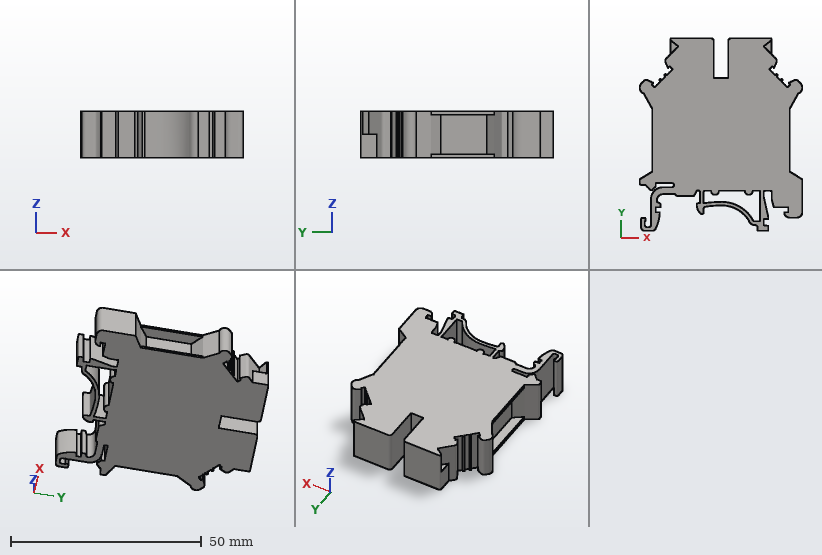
import cadquery as cq
import math

WIDTH = 42.62
LENGTH = 50.5
THICKNESS = 12.2
RIGHT = WIDTH / 2
TOP = LENGTH / 2
BOTTOM = -TOP
TOP_FACE = THICKNESS / 2

SLOT_HALF_WIDTH = 1.85
SLOT_FLOOR = 14.8
SLOT_MOUTH_ROUND = 0.85
HEAD_HALF_WIDTH = 13.24
HEAD_ROUND = 0.4

GROOVE_X = -15.03
GROOVE_Y = 14.71
GROOVE_HALF_LENGTH = 3.32
LIP_HEIGHT = 1.05
LIP_NOSE_ALONG = 2.71
HOOK_HEIGHT = 3.19
HOOK_SHOULDER_ALONG = 3.48
HOOK_ROUND = 0.85
BULB_RADIUS = 1.65
BULB_ALONG = -5.0
BULB_START_ANGLE = 90
BULB_END_ANGLE = 204
RIDGE_OFFSET = 0.9
RIDGE_SIZE = 0.5

NOTCH_DEPTH = 6.0
NOTCH_START_Y = 24.67
NOTCH_TIP_X = -11.16

FLANK_X = 18.06
FLANK_TOP = 6.78
FLANK_BOTTOM = -9.75
POCKET_WALL = 0.9
POCKET_DEPTH = 2.7
POCKET_FLOOR_TOP = 4.2
POCKET_FLOOR_BOTTOM = -7.74

SKIRT_Y = -11.72
SKIRT_BOTTOM = -13.24
STOP_LEFT = -19.8
STOP_TIP_X = -18.26
STOP_TIP_Y = -14.75
STOP_RIGHT_Y = -13.6
UNDERSIDE = -14.78
RAIL_SEAT = -19.09
RAIL_LIP = -20.3
RAIL_GROOVE_X = 17.05
RIGHT_RAIL_GROOVE_X = 17.57
FOOT_BOTTOM = -21.82
FOOT_LEFT = 13.27
FOOT_SEAT_LEFT = 13.81
FOOT_TAPER_TOP = -17.07
FOOT_TOE_X = 16.52
FOOT_ROUND = 1.5
TINY_ROUND = 0.2
SMALL_ROUND = 0.3
MEDIUM_ROUND = 0.5

ARM_SLOT_TOP = -12.76
ARM_TOP = -13.78
ARM_SLOT_END = -12.34
ARM_OUTER_X = -18.36
ARM_OUTER_ROUND = 3.15
ARM_UNDERSIDE = -15.64
ARM_INNER_X = -16.75
ARM_INNER_ROUND = 1.6
PLATE_BOTTOM = -16.15
PLATE_STEP_X = -12.1
PLATE_LEFT = -11.5
PLATE_RIGHT = -7.09
TAIL_LEFT = -20.96
TAIL_TOP = -21.8
TAIL_FLOOR = -24.23
TAIL_INNER_X = -19.93
TAIL_TIP_X = -19.75
TAIL_BEAD_BOTTOM = -22.75
TAIL_BEAD_TOP = -22.55
TAIL_ROUND = 1.0
JAW_X = -16.0
BARB_X = -15.82
BARB_TOP = -18.1
BARB_ROOT = -17.6

POST_LEFT = -5.55
POST_RIGHT = -4.52
POST_BOTTOM = -20.82
POST_RELIEF_LEFT = -6.25
POST_RELIEF_TOP = -14.66
POST_ROUND = 0.4
ARCH_CROWN_X = 0.4
ARCH_TOP = -17.6
ARCH_BOTTOM = -18.6
LEG_LEFT = 10.17
LEG_RIGHT = 11.2
LEG_TIP_X = 12.43
LEG_FOOT_LEFT = 9.53
LEG_FOOT_TOP = -23.75
LEG_FOOT_ROUND = 0.55
LEG_NOTCH_MOUTH = -23.89
LEG_NOTCH_TOP = -22.13
LEG_TAPER_BOTTOM = -21.7
LEG_TAPER_TOP = -16.2
WINDOW_FLOOR = -22.7
BUMP_RADIUS = 1.05
BUMP_CENTRES = (-1.57, 7.28)


def corner(x, y, radius=0.0):
    """Outline corner, rounded when a radius is given."""
    return ("corner", x, y, radius)


def through(x, y):
    """Point in the middle of an arc joining the corners before and after it."""
    return ("through", x, y, 0.0)


def unit(start, end):
    dx = end[1] - start[1]
    dy = end[2] - start[2]
    size = math.hypot(dx, dy)
    return dx / size, dy / size


def fillet_points(before, point, after):
    """Start, middle and end of the round that replaces a corner."""
    _, x, y, radius = point
    ux, uy = unit(point, before)
    vx, vy = unit(point, after)
    half_angle = math.acos(ux * vx + uy * vy) / 2
    tangent = radius / math.tan(half_angle)
    to_arc = radius / math.sin(half_angle) - radius
    bx, by = ux + vx, uy + vy
    size = math.hypot(bx, by)
    start = (x + ux * tangent, y + uy * tangent)
    middle = (x + bx / size * to_arc, y + by / size * to_arc)
    end = (x + vx * tangent, y + vy * tangent)
    return start, middle, end


def prism(points, bottom=-TOP_FACE, height=THICKNESS):
    """Extrude a closed outline whose first point is a plain corner."""
    sketch = cq.Workplane("XY").workplane(offset=bottom).moveTo(*points[0][1:3])
    count = len(points)
    arc_middle = None
    for i in range(1, count):
        kind, x, y, radius = points[i]
        if kind == "through":
            arc_middle = (x, y)
        elif arc_middle:
            sketch = sketch.threePointArc(arc_middle, (x, y))
            arc_middle = None
        elif radius:
            start, middle, end = fillet_points(points[i - 1], points[i], points[(i + 1) % count])
            sketch = sketch.lineTo(*start).threePointArc(middle, end)
        else:
            sketch = sketch.lineTo(x, y)
    return sketch.close().extrude(height)


def mirrored(points):
    """Outline stretch reflected to the other side, in reverse order."""
    return [(kind, -x, y, radius) for kind, x, y, radius in reversed(points)]


def on_groove(along, out, radius=0.0):
    """Corner given in the turned axes of the left marker groove."""
    diagonal = math.sqrt(0.5)
    x = GROOVE_X + (along - out) * diagonal
    y = GROOVE_Y + (along + out) * diagonal
    return corner(x, y, radius)


def shoulder_line_y(x):
    """Height of the 45 degree line along the outer faces of the left hooks."""
    return x + GROOVE_Y - GROOVE_X + HOOK_HEIGHT * math.sqrt(2)


def groove_lip(side):
    """Corners of one end of the groove, from the hook shoulder to the floor."""
    return [
        on_groove(side * HOOK_SHOULDER_ALONG, HOOK_HEIGHT, HOOK_ROUND),
        on_groove(side * LIP_NOSE_ALONG, LIP_HEIGHT),
        on_groove(side * GROOVE_HALF_LENGTH, LIP_HEIGHT),
        on_groove(side * GROOVE_HALF_LENGTH, 0),
    ]


def groove_ridge(centre):
    half = RIDGE_SIZE / 2
    return [
        on_groove(centre + half, 0),
        on_groove(centre + half, RIDGE_SIZE),
        on_groove(centre - half, RIDGE_SIZE),
        on_groove(centre - half, 0),
    ]


def lower_hook_bulb():
    """Round end of the lower hook, from its outer face to the flank."""
    arc = []
    for angle in (BULB_START_ANGLE, (BULB_START_ANGLE + BULB_END_ANGLE) / 2, BULB_END_ANGLE):
        along = BULB_ALONG + BULB_RADIUS * math.cos(math.radians(angle))
        out = HOOK_HEIGHT - BULB_RADIUS + BULB_RADIUS * math.sin(math.radians(angle))
        arc.append(on_groove(along, out))
    start, middle, end = arc
    return [start, through(middle[1], middle[2]), end]


def upper_left():
    """Left half of the head, shoulder and flank, from the slot downwards."""
    return [
        corner(-SLOT_HALF_WIDTH, SLOT_FLOOR),
        corner(-SLOT_HALF_WIDTH, TOP, SLOT_MOUTH_ROUND),
        corner(-HEAD_HALF_WIDTH, TOP, HEAD_ROUND),
        corner(-HEAD_HALF_WIDTH, shoulder_line_y(-HEAD_HALF_WIDTH)),
        *groove_lip(1),
        *groove_ridge(RIDGE_OFFSET),
        *groove_ridge(-RIDGE_OFFSET),
        *reversed(groove_lip(-1)),
        *lower_hook_bulb(),
        corner(-FLANK_X, FLANK_TOP),
        corner(-FLANK_X, FLANK_BOTTOM),
    ]


def left_skirt():
    """Left corner of the housing with its pointed stop above the spring arm."""
    return [
        corner(-RIGHT, SKIRT_Y, SMALL_ROUND),
        corner(-RIGHT, SKIRT_BOTTOM, MEDIUM_ROUND),
        corner(STOP_LEFT, SKIRT_BOTTOM),
        corner(STOP_TIP_X, STOP_TIP_Y, SMALL_ROUND),
        corner(-RAIL_GROOVE_X, STOP_RIGHT_Y),
        corner(-RAIL_GROOVE_X, ARM_SLOT_TOP),
    ]


def spring_arm():
    """Bent arm with the hooked tail and the left rail groove."""
    return [
        corner(ARM_SLOT_END, ARM_SLOT_TOP, MEDIUM_ROUND),
        corner(ARM_SLOT_END, ARM_TOP, MEDIUM_ROUND),
        corner(ARM_OUTER_X, ARM_TOP, ARM_OUTER_ROUND),
        corner(ARM_OUTER_X, TAIL_FLOOR, MEDIUM_ROUND),
        corner(TAIL_INNER_X, TAIL_FLOOR, MEDIUM_ROUND),
        corner(TAIL_INNER_X, TAIL_BEAD_BOTTOM),
        corner(TAIL_TIP_X, TAIL_BEAD_TOP),
        corner(TAIL_TIP_X, TAIL_TOP, SMALL_ROUND),
        corner(TAIL_LEFT, TAIL_TOP, MEDIUM_ROUND),
        corner(TAIL_LEFT, BOTTOM, TAIL_ROUND),
        corner(-18.05, BOTTOM),
        through(-17.5, -25.12),
        corner(-17.15, -24.77),
        through(-16.35, -22.75),
        corner(JAW_X, -20.55),
        corner(JAW_X, RAIL_LIP, TINY_ROUND),
        corner(-RAIL_GROOVE_X, RAIL_LIP),
        corner(-RAIL_GROOVE_X, RAIL_SEAT),
        corner(BARB_X, RAIL_SEAT),
        corner(BARB_X, BARB_TOP, MEDIUM_ROUND),
        corner(ARM_INNER_X, BARB_ROOT),
        corner(ARM_INNER_X, ARM_UNDERSIDE, ARM_INNER_ROUND),
        corner(PLATE_STEP_X, ARM_UNDERSIDE),
        corner(PLATE_LEFT, PLATE_BOTTOM),
        corner(PLATE_RIGHT, PLATE_BOTTOM),
    ]


def arched_spring():
    """Underside of the post, the arch and the right leg."""
    return [
        corner(POST_RELIEF_LEFT, POST_RELIEF_TOP, POST_ROUND),
        corner(POST_LEFT, POST_RELIEF_TOP, POST_ROUND),
        corner(POST_LEFT, -17.87),
        corner(-6.37, -18.05, SMALL_ROUND),
        corner(-6.35, -18.9),
        through(-5.95, -20.0),
        corner(-5.2, POST_BOTTOM),
        corner(POST_RIGHT, POST_BOTTOM, POST_ROUND),
        corner(POST_RIGHT, -19.05, POST_ROUND),
        corner(-3.95, -18.93),
        through(-1.75, -18.68),
        corner(ARCH_CROWN_X, ARCH_BOTTOM),
        through(4.75, -19.95),
        corner(7.25, -22.49),
        through(7.87, -23.4),
        corner(8.9, LEG_FOOT_TOP),
        corner(LEG_FOOT_LEFT, LEG_FOOT_TOP, LEG_FOOT_ROUND),
        corner(LEG_FOOT_LEFT, BOTTOM, SMALL_ROUND),
        corner(LEG_TIP_X, BOTTOM, SMALL_ROUND),
        corner(LEG_TIP_X, LEG_NOTCH_MOUTH),
        corner(LEG_RIGHT, LEG_FOOT_TOP, TINY_ROUND),
        corner(LEG_RIGHT, LEG_NOTCH_TOP, SMALL_ROUND),
        corner(LEG_TIP_X, LEG_NOTCH_TOP),
        corner(LEG_TIP_X, LEG_TAPER_BOTTOM),
        corner(LEG_RIGHT, LEG_TAPER_TOP),
    ]


def right_foot():
    """Fixed foot with the right rail groove."""
    return [
        corner(LEG_RIGHT, UNDERSIDE, SMALL_ROUND),
        corner(FOOT_LEFT, UNDERSIDE, SMALL_ROUND),
        corner(FOOT_LEFT, FOOT_TAPER_TOP),
        corner(FOOT_SEAT_LEFT, RAIL_SEAT),
        corner(RIGHT_RAIL_GROOVE_X, RAIL_SEAT),
        corner(RIGHT_RAIL_GROOVE_X, RAIL_LIP),
        corner(FOOT_TOE_X, RAIL_LIP),
        corner(FOOT_TOE_X, FOOT_BOTTOM, FOOT_ROUND),
        corner(RIGHT, FOOT_BOTTOM, FOOT_ROUND),
        corner(RIGHT, SKIRT_Y),
    ]


def window():
    """Opening between the underside and the arch, less two bumps on its roof."""
    opening = prism([
        corner(POST_RIGHT, -17.95),
        through(-2.06, -17.69),
        corner(ARCH_CROWN_X, ARCH_TOP),
        through(5.2, -19.06),
        corner(8.53, WINDOW_FLOOR),
        corner(LEG_LEFT, WINDOW_FLOOR),
        corner(LEG_LEFT, UNDERSIDE),
        corner(POST_RIGHT, UNDERSIDE, SMALL_ROUND),
    ])
    for x in BUMP_CENTRES:
        bump = cq.Workplane("XY").center(x, UNDERSIDE).circle(BUMP_RADIUS)
        opening = opening.cut(bump.extrude(TOP_FACE, both=True))
    return opening


def head_notch():
    """Corner notch of the left side of the head, open to the top face."""
    notch = [
        corner(-HEAD_HALF_WIDTH, NOTCH_START_Y),
        corner(-HEAD_HALF_WIDTH, shoulder_line_y(-HEAD_HALF_WIDTH)),
        corner(NOTCH_TIP_X, shoulder_line_y(NOTCH_TIP_X)),
    ]
    return prism(notch, TOP_FACE - NOTCH_DEPTH, NOTCH_DEPTH)


def flank_pocket():
    """Tapered pocket in the left flank between two thin walls."""
    floor_x = POCKET_DEPTH - FLANK_X
    pocket = [
        corner(-FLANK_X, FLANK_TOP),
        corner(-FLANK_X, FLANK_BOTTOM),
        corner(floor_x, POCKET_FLOOR_BOTTOM),
        corner(floor_x, POCKET_FLOOR_TOP),
    ]
    return prism(pocket, POCKET_WALL - TOP_FACE, THICKNESS - 2 * POCKET_WALL)


left_half = upper_left()
outline = left_half + left_skirt() + spring_arm() + arched_spring() + right_foot() + mirrored(left_half)
result = prism(outline).cut(window())
for side_cut in (head_notch(), flank_pocket()):
    result = result.cut(side_cut).cut(side_cut.mirror("YZ"))